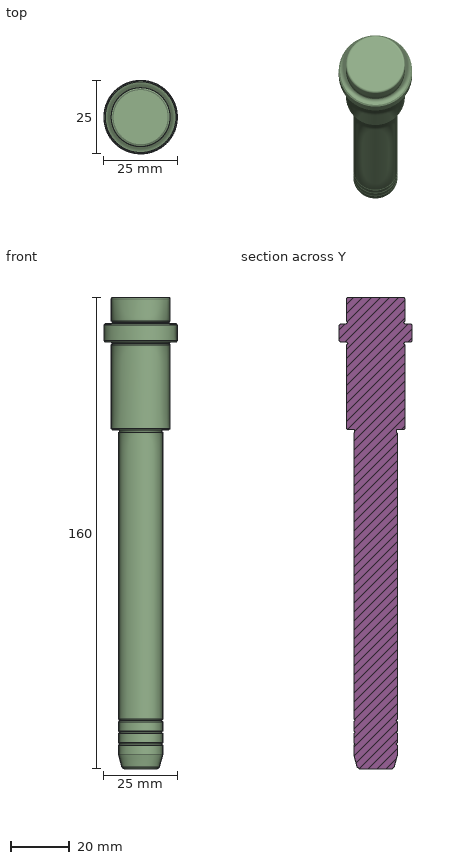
import cadquery as cq
import math

length = 160.0
collar_diameter = 25.0
sleeve_diameter = 20.0
shaft_diameter = 15.0

collar_top = length - 9.0
collar_bottom = length - 15.2
sleeve_bottom = length - 45.0
edge_chamfer = 0.5
head_fillet = 0.6

groove_width = 1.0
groove_depth = 0.3
v_groove_depth = 0.5
lowest_groove_height = 8.5
groove_pitch = 4.0
groove_count = 3

taper_height = 5.0
taper_angle = 15.0
tip_chamfer = 0.6


def cylinder(diameter, bottom, top):
    return cq.Workplane("XY").workplane(offset=bottom).circle(diameter / 2).extrude(top - bottom)


def groove(diameter, bottom):
    """Ring that cuts a shallow groove into a cylinder of the given diameter."""
    top = bottom + groove_width
    core = cylinder(diameter - 2 * groove_depth, bottom, top)
    return cylinder(diameter, bottom, top).cut(core)


def v_groove(diameter, center):
    """Ring of triangular section with its point toward the axis."""
    radius = diameter / 2
    half_width = groove_width / 2
    section = [
        (radius, center - half_width),
        (radius - v_groove_depth, center),
        (radius, center + half_width),
    ]
    return cq.Workplane("XZ").polyline(section).close().revolve(360, (0, 0), (0, 1))


tip_diameter = shaft_diameter - 2 * taper_height * math.tan(math.radians(taper_angle))
tip = (
    cq.Workplane("XY")
    .circle(tip_diameter / 2)
    .workplane(offset=taper_height)
    .circle(shaft_diameter / 2)
    .loft()
    .faces("<Z").edges().chamfer(tip_chamfer)
)

shaft = cylinder(shaft_diameter, taper_height, sleeve_bottom)
shaft = shaft.cut(groove(shaft_diameter, sleeve_bottom - groove_width))
for index in range(groove_count):
    center = lowest_groove_height + index * groove_pitch
    shaft = shaft.cut(v_groove(shaft_diameter, center))

sleeve = cylinder(sleeve_diameter, sleeve_bottom, length)
sleeve = sleeve.faces("<Z").edges().chamfer(edge_chamfer)
sleeve = sleeve.faces(">Z").edges().fillet(head_fillet)
sleeve = sleeve.cut(v_groove(sleeve_diameter, collar_top + groove_width / 2))
sleeve = sleeve.cut(v_groove(sleeve_diameter, collar_bottom - groove_width / 2))

collar = cylinder(collar_diameter, collar_bottom, collar_top).edges().chamfer(edge_chamfer)

result = tip.union(shaft).union(sleeve).union(collar)